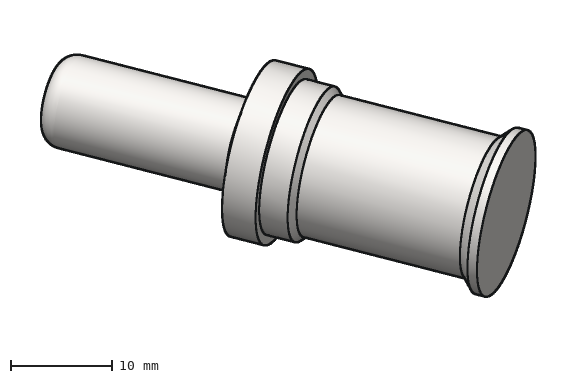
import cadquery as cq

total_length = 47.7
pin_diameter = 9.5
flange_diameter = 18.0
shoulder_diameter = 15.9
barrel_diameter = 14.5
rim_diameter = 17.0

pin_length = 20.0
flange_cone_length = 1.15
flange_length = 3.55
shoulder_length = 3.65

rim_length = 1.0

tip_rounding = 2.0

pin_radius = pin_diameter / 2
flange_radius = flange_diameter / 2
shoulder_radius = shoulder_diameter / 2
barrel_radius = barrel_diameter / 2
rim_radius = rim_diameter / 2

tip_x = -total_length / 2
rear_x = total_length / 2
flange_cone_start = tip_x + pin_length
flange_start = flange_cone_start + flange_cone_length
flange_end = flange_start + flange_length
shoulder_end = flange_end + shoulder_length

shoulder_chamfer = shoulder_radius - barrel_radius
rim_start = rear_x - rim_length
flare_start = rim_start - (rim_radius - barrel_radius)

half_section = [
    (tip_x, 0),
    (tip_x, pin_radius),
    (flange_cone_start, pin_radius),
    (flange_start, flange_radius),
    (flange_end, flange_radius),
    (flange_end, shoulder_radius),
    (shoulder_end - shoulder_chamfer, shoulder_radius),
    (shoulder_end, barrel_radius),
    (flare_start, barrel_radius),
    (rim_start, rim_radius),
    (rear_x, rim_radius),
    (rear_x, 0),
]
body = cq.Workplane("XY").polyline(half_section).close().revolve(360, (0, 0, 0), (1, 0, 0))

result = body.faces("<X").edges().fillet(tip_rounding)